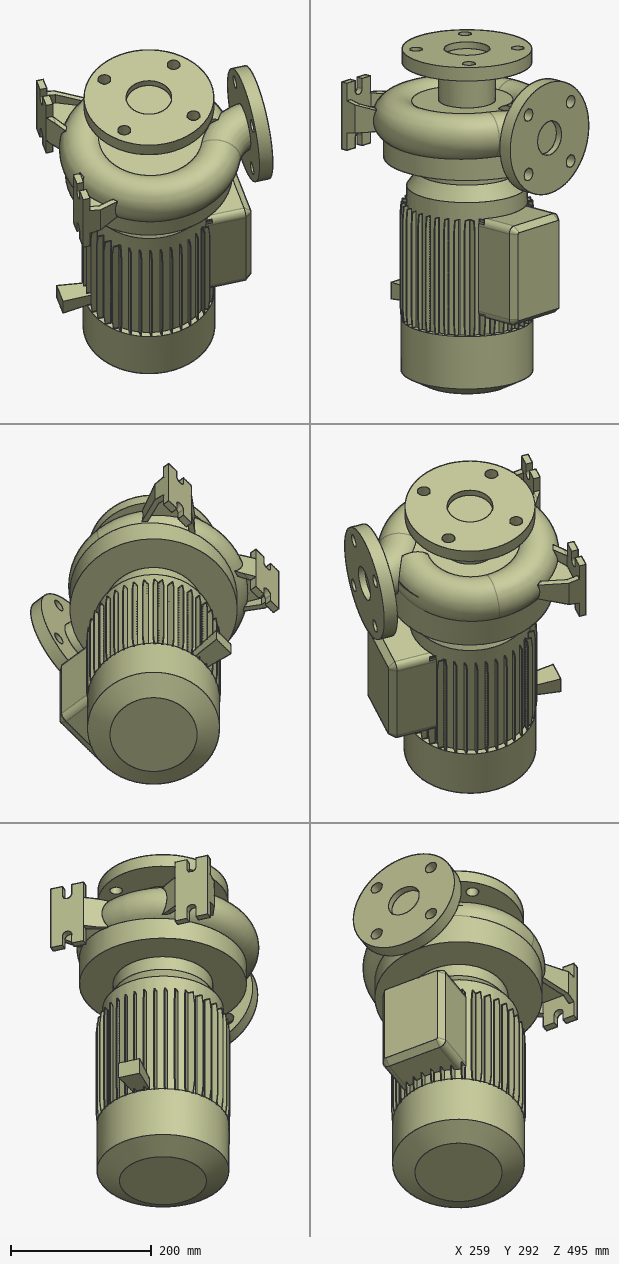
import cadquery as cq
import math


suction_face_z = 100.0
discharge_face_y = 160.0
flange_thickness = 20.0
suction_flange_dia = 185.0
suction_bolt_circle = 145.0
suction_bore = 65.0
suction_neck_dia = 81.0
discharge_flange_dia = 165.0
discharge_bolt_circle = 125.0
discharge_bore = 50.0
bolt_hole_dia = 18.0
bore_depth = 10.0

tube_radius = 33.0
volute_center_x = 7.5
volute_arc_radius = 96.5
volute_end_angle = 66.0
tail_arc_radius = 86.0
tail_end_angle = 85.0
casing_radius = 119.0
casing_bottom_z = -60.0
casing_top_z = 10.0
hub_radius = 85.0
hub_top_z = 24.0

lantern_radius = 71.0
body_radius = 86.0
cone_top_z = -81.5
cone_bottom_z = -103.0
fin_top_z = -128.0
fin_bottom_z = -300.0
fin_count = 40
fin_thickness = 1.5
fin_radius = 95.0
fin_embed = 2.0
fin_bevel_depth = 2.0
fin_bevel_length = 18.0
cover_radius = 94.0
cover_end_radius = 62.0
cover_cone_z = -378.0
motor_bottom_z = -395.0

box_width = 102.0
box_outer_y = 139.0
box_bottom_z = -275.0
box_corner_radius = 10.0
box_bevel_depth = 10.0
box_bevel_width = 8.0

foot_face_y = -132.0
foot_plate_thickness = 10.0
foot_plate_width = 50.0
foot_plate_height = 100.0
foot_spacing = 190.0
foot_slot_width = 14.0
foot_slot_spacing = 70.0
wall_thickness = 8.0
wall_bend_y = -106.0
wall_slope_angle = 65.0
brace_angle = 33.0
bracket_half_height = 24.0
bracket_taper_angle = 10.5
bracket_inner_y = -55.0
web_thickness = 8.0

support_width = 32.0
support_height = 25.0
support_center_z = -284.0
support_draft = 4.5
support_inner_y = -84.0


def cylinder(radius, bottom_z, top_z):
    return cq.Workplane("XY").workplane(offset=bottom_z).circle(radius).extrude(top_z - bottom_z)


def tube_arc(center_x, center_y, arc_radius, start_angle, end_angle):
    """Round tube along an arc in the plane z = 0, angles in degrees from +X."""
    section = cq.Workplane("XZ").center(arc_radius, 0).circle(tube_radius)
    ring = section.revolve(end_angle - start_angle, (-arc_radius, 0), (-arc_radius, 1))
    ring = ring.rotate((0, 0, 0), (0, 0, 1), start_angle)
    return ring.translate((center_x, center_y, 0))


def flange(diameter, bolt_circle):
    """Flange with its outer face at z = 0 and its body below."""
    hole_spacing = bolt_circle / math.sqrt(2)
    disc = cq.Workplane("XY").circle(diameter / 2).extrude(-flange_thickness)
    return (
        disc.faces(">Z").workplane()
        .rect(hole_spacing, hole_spacing, forConstruction=True)
        .vertices().hole(bolt_hole_dia)
    )


def bore(diameter):
    return cq.Workplane("XY").circle(diameter / 2).extrude(-bore_depth)


def to_suction(shape):
    return shape.translate((0, 0, suction_face_z))


def to_discharge(shape):
    return shape.rotate((0, 0, 0), (1, 0, 0), -90).translate((0, discharge_face_y, 0))


def make_volute():
    end = math.radians(volute_end_angle)
    outlet_radius = (volute_center_x + volute_arc_radius * math.cos(end)) / (1 - math.cos(end))
    outlet_center_y = (volute_arc_radius + outlet_radius) * math.sin(end)
    tail_center_x = volute_center_x - volute_arc_radius + tail_arc_radius

    main = tube_arc(volute_center_x, 0, volute_arc_radius, -180, volute_end_angle)
    tail = tube_arc(tail_center_x, 0, tail_arc_radius, tail_end_angle, 180)
    outlet = tube_arc(outlet_radius, outlet_center_y, outlet_radius, 180, 180 + volute_end_angle)
    outlet_stop_y = discharge_face_y - flange_thickness / 2
    outlet = outlet.intersect(
        cq.Workplane("XY").box(4 * casing_radius, 2 * outlet_stop_y, 4 * tube_radius)
    )
    casing = cylinder(casing_radius, casing_bottom_z, casing_top_z)
    hub = cylinder(hub_radius, casing_bottom_z, hub_top_z)
    neck = cylinder(suction_neck_dia / 2, 0, suction_face_z - flange_thickness / 2)
    return casing.union(hub).union(main).union(tail).union(outlet).union(neck)


def make_fin(angle):
    """Fin standing along +X, its tip on the fin radius at the given angle from +X."""
    offset_y = fin_radius * math.sin(math.radians(angle))
    tip_x = fin_radius * math.cos(math.radians(angle))
    root_x = math.sqrt((body_radius - fin_embed) ** 2 - offset_y ** 2)
    outline = [
        (root_x, fin_bottom_z),
        (tip_x - fin_bevel_depth, fin_bottom_z),
        (tip_x, fin_bottom_z + fin_bevel_length),
        (tip_x, fin_top_z - fin_bevel_length),
        (tip_x - fin_bevel_depth, fin_top_z),
        (root_x, fin_top_z),
    ]
    fin = cq.Workplane("XZ").polyline(outline).close().extrude(fin_thickness / 2, both=True)
    return fin.translate((0, offset_y, 0))


def make_motor():
    profile = [
        (0, casing_bottom_z),
        (lantern_radius, casing_bottom_z),
        (lantern_radius, cone_top_z),
        (body_radius, cone_bottom_z),
        (body_radius, fin_bottom_z),
        (cover_radius, fin_bottom_z),
        (cover_radius, cover_cone_z),
        (cover_end_radius, motor_bottom_z),
        (0, motor_bottom_z),
    ]
    motor = cq.Workplane("XZ").polyline(profile).close().revolve(360, (0, 0), (0, 1))
    fins_per_quadrant = fin_count // 4
    fin_step = 360 / fin_count
    for index in range(fins_per_quadrant):
        fin = make_fin((index - (fins_per_quadrant - 1) / 2) * fin_step)
        for quadrant in range(4):
            motor = motor.union(fin.rotate((0, 0, 0), (0, 0, 1), quadrant * 90))
    return motor


def make_terminal_box():
    height = fin_top_z - box_bottom_z
    box = (
        cq.Workplane("XY")
        .box(box_width, box_outer_y, height, centered=(True, False, False))
        .translate((0, 0, box_bottom_z))
        .edges("|Y").fillet(box_corner_radius)
    )
    return box.faces(">Y").chamfer(box_bevel_width, box_bevel_depth)


def make_foot():
    """Foot on the +X side: slotted plate, two walls and a web between them."""
    center_x = foot_spacing / 2
    outer_x = center_x + foot_plate_width / 2
    inner_x = center_x - foot_plate_width / 2
    back_y = foot_face_y + foot_plate_thickness

    plate = cq.Workplane("XY").box(foot_plate_width, foot_plate_thickness, foot_plate_height)
    slot_depth = foot_plate_height / 2 - foot_slot_spacing / 2
    for side in (-1, 1):
        end_z = side * foot_slot_spacing / 2
        round_end = (
            cq.Workplane("XZ").center(0, end_z).circle(foot_slot_width / 2)
            .extrude(foot_plate_thickness, both=True)
        )
        mouth = cq.Workplane("XY").box(foot_slot_width, 2 * foot_plate_thickness, slot_depth)
        plate = plate.cut(round_end).cut(mouth.translate((0, 0, end_z + side * slot_depth / 2)))
    plate = plate.translate((center_x, foot_face_y + foot_plate_thickness / 2, 0))

    wall_run = (bracket_inner_y - wall_bend_y) / math.tan(math.radians(wall_slope_angle))
    brace_run = (bracket_inner_y - foot_face_y) / math.tan(math.radians(brace_angle))
    brace_plate_run = foot_plate_thickness / math.tan(math.radians(brace_angle))
    brace_offset = wall_thickness / math.sin(math.radians(brace_angle))
    outer_wall = [
        (outer_x, back_y),
        (outer_x, wall_bend_y),
        (outer_x - wall_run, bracket_inner_y),
        (outer_x - wall_run - wall_thickness, bracket_inner_y),
        (outer_x - wall_thickness, wall_bend_y),
        (outer_x - wall_thickness, back_y),
    ]
    brace = [
        (inner_x, foot_face_y),
        (inner_x - brace_run, bracket_inner_y),
        (inner_x - brace_run + brace_offset, bracket_inner_y),
        (inner_x + brace_offset - brace_plate_run, back_y),
        (inner_x, back_y),
    ]
    web = [
        (inner_x, back_y),
        (outer_x, back_y),
        (outer_x, wall_bend_y),
        (outer_x - wall_run, bracket_inner_y),
        (inner_x - brace_run, bracket_inner_y),
    ]
    taper_rise = (bracket_inner_y - back_y) * math.tan(math.radians(bracket_taper_angle))
    inner_half_height = bracket_half_height - taper_rise
    side_profile = [
        (foot_face_y, -bracket_half_height),
        (back_y, -bracket_half_height),
        (bracket_inner_y, -inner_half_height),
        (bracket_inner_y, inner_half_height),
        (back_y, bracket_half_height),
        (foot_face_y, bracket_half_height),
    ]
    envelope = cq.Workplane("YZ").polyline(side_profile).close().extrude(outer_x)
    walls = cq.Workplane("XY").polyline(outer_wall).close().extrude(bracket_half_height, both=True)
    walls = walls.union(
        cq.Workplane("XY").polyline(brace).close().extrude(bracket_half_height, both=True)
    )
    walls = walls.intersect(envelope)
    floor = cq.Workplane("XY").polyline(web).close().extrude(web_thickness / 2, both=True)
    return plate.union(walls).union(floor)


def make_support():
    return (
        cq.Workplane("XZ", origin=(0, foot_face_y, support_center_z))
        .rect(support_width, support_height)
        .extrude(foot_face_y - support_inner_y, taper=support_draft)
    )


foot = make_foot()
result = make_volute().union(make_motor()).union(make_terminal_box()).union(make_support())
result = result.union(foot).union(foot.mirror("YZ"))
result = result.union(to_suction(flange(suction_flange_dia, suction_bolt_circle)))
result = result.union(to_discharge(flange(discharge_flange_dia, discharge_bolt_circle)))
result = result.cut(to_suction(bore(suction_bore)))
result = result.cut(to_discharge(bore(discharge_bore)))